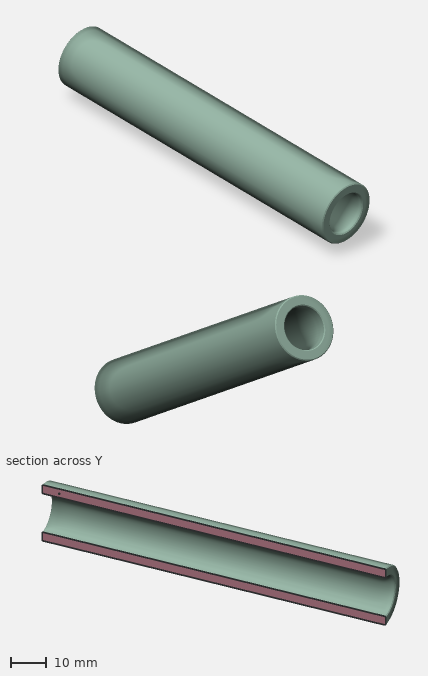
import cadquery as cq

length = 106.2
outer_diameter = 18.7
bore_diameter = 12.6
edge_chamfer = 0.28

tube = (
    cq.Workplane("YZ")
    .circle(outer_diameter / 2)
    .circle(bore_diameter / 2)
    .extrude(length)
)

result = tube.faces("<X or >X").edges().chamfer(edge_chamfer)